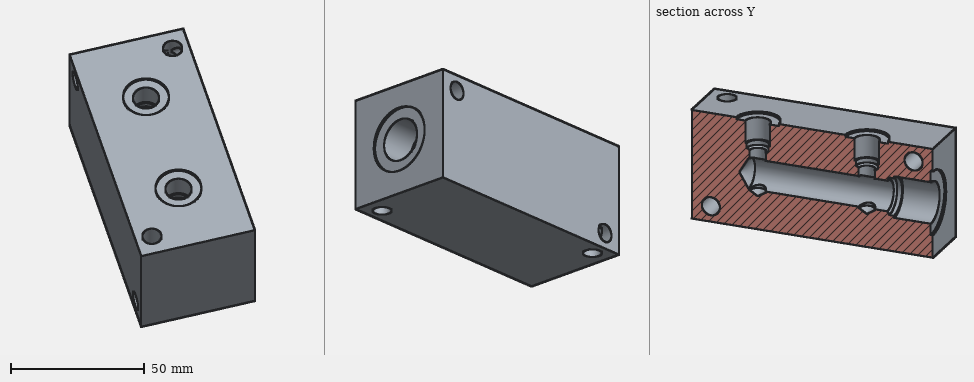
import cadquery as cq
import math

LENGTH = 98.4
SIDE = 44.5

MOUNT_DIA = 7.2
MOUNT_END_INSET = 7.9
MOUNT_EDGE_INSET = 6.4

SPOTFACE_DEPTH = 0.8
POINT_ANGLE = 118.0

INLET_SPOTFACE_DIA = 25.9
INLET_THREAD_DIA = 16.7
INLET_THREAD_DEPTH = 15.7
INLET_TAP_DRILL_DIA = 15.1
INLET_TAP_DRILL_DEPTH = 17.7
GALLERY_DIA = 12.3

OUTLET_PITCH = 44.5
OUTLET_SPOTFACE_DIA = 17.2
OUTLET_THREAD_DIA = 9.8
OUTLET_THREAD_DEPTH = 9.8
OUTLET_TAP_DRILL_DIA = 8.8
OUTLET_TAP_DRILL_DEPTH = 11.8
OUTLET_PASSAGE_DIA = 6.4

CROSSING_OVERRUN = 0.5
GALLERY_DEPTH = LENGTH / 2 + OUTLET_PITCH / 2 + OUTLET_PASSAGE_DIA / 2 + CROSSING_OVERRUN
OUTLET_PASSAGE_DEPTH = SIDE / 2 + GALLERY_DIA / 2 + CROSSING_OVERRUN


def port_cutter(spotface_dia, thread_dia, thread_depth, tap_dia, tap_depth, passage_dia, passage_depth):
    """Stepped port running along -Z from the origin; all depths are measured from there."""
    spotface_r = spotface_dia / 2
    thread_r = thread_dia / 2
    tap_r = tap_dia / 2
    passage_r = passage_dia / 2
    point_slope = 1 / math.tan(math.radians(POINT_ANGLE / 2))
    shoulder_depth = tap_depth + (tap_r - passage_r) * point_slope
    tip_depth = passage_depth + passage_r * point_slope
    profile = (
        cq.Workplane("XZ")
        .lineTo(spotface_r, 0)
        .lineTo(spotface_r, -SPOTFACE_DEPTH)
        .lineTo(thread_r, -SPOTFACE_DEPTH)
        .lineTo(thread_r, -thread_depth)
        .lineTo(tap_r, -thread_depth)
        .lineTo(tap_r, -tap_depth)
        .lineTo(passage_r, -shoulder_depth)
        .lineTo(passage_r, -passage_depth)
        .lineTo(0, -tip_depth)
        .close()
    )
    return profile.revolve(360, (0, 0, 0), (0, 1, 0))


block = cq.Workplane("XY").box(LENGTH, SIDE, SIDE)

mount_x = LENGTH / 2 - MOUNT_END_INSET
mount_offset = SIDE / 2 - MOUNT_EDGE_INSET
mount_points = [(-mount_x, mount_offset), (mount_x, -mount_offset)]
for plane in ("XY", "XZ"):
    holes = cq.Workplane(plane).pushPoints(mount_points).circle(MOUNT_DIA / 2).extrude(SIDE, both=True)
    block = block.cut(holes)

outlet = port_cutter(
    OUTLET_SPOTFACE_DIA,
    OUTLET_THREAD_DIA,
    OUTLET_THREAD_DEPTH,
    OUTLET_TAP_DRILL_DIA,
    OUTLET_TAP_DRILL_DEPTH,
    OUTLET_PASSAGE_DIA,
    OUTLET_PASSAGE_DEPTH,
)
for outlet_x in (-OUTLET_PITCH / 2, OUTLET_PITCH / 2):
    block = block.cut(outlet.translate((outlet_x, 0, SIDE / 2)))

inlet = port_cutter(
    INLET_SPOTFACE_DIA,
    INLET_THREAD_DIA,
    INLET_THREAD_DEPTH,
    INLET_TAP_DRILL_DIA,
    INLET_TAP_DRILL_DEPTH,
    GALLERY_DIA,
    GALLERY_DEPTH,
)
inlet = inlet.rotate((0, 0, 0), (0, 1, 0), -90).translate((-LENGTH / 2, 0, 0))
result = block.cut(inlet)